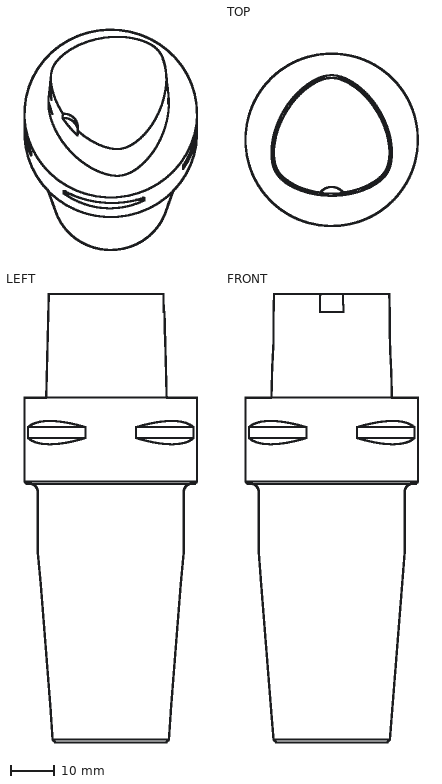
import cadquery as cq
import math

total_height = 104.0
shank_length = 24.0
collar_top = total_height - shank_length
collar_bottom = 60.0
cone_top = 44.1

collar_diameter = 40.0
neck_diameter = 33.9
nose_diameter = 27.0
nose_chamfer = 0.7
collar_chamfer = 0.5
relief_radius = 1.9

shank_base_width = 28.0
shank_taper = 1 / 20
lobe_height = 1.0
lobe_count = 3
outline_points = 48

notch_radius = 3.3
notch_inner_y = -10.9
notch_depth = 4.2

slot_count = 4
slot_floor_distance = 17.7
slot_floor_height = 2.5
slot_middle_z = 71.9
slot_flank_angle = 32.0


def turned_body():
    """Nose cone, neck and collar as one revolved profile."""
    collar_radius = collar_diameter / 2
    neck_radius = neck_diameter / 2
    nose_radius = nose_diameter / 2
    return (
        cq.Workplane("XZ")
        .lineTo(nose_radius - nose_chamfer, 0)
        .lineTo(nose_radius, nose_chamfer)
        .lineTo(neck_radius, cone_top)
        .lineTo(neck_radius, collar_bottom - relief_radius)
        .radiusArc((neck_radius + relief_radius, collar_bottom), relief_radius)
        .lineTo(collar_radius - collar_chamfer, collar_bottom)
        .lineTo(collar_radius, collar_bottom + collar_chamfer)
        .lineTo(collar_radius, collar_top)
        .lineTo(0, collar_top)
        .close()
        .revolve(360, (0, 0, 0), (0, 1, 0))
    )


def lobed_point(width, angle):
    """Point on a curve of constant width with one lobe pointing to +Y."""
    support = width / 2 + lobe_height * math.cos(lobe_count * angle)
    slope = -lobe_count * lobe_height * math.sin(lobe_count * angle)
    along_lobe = support * math.cos(angle) - slope * math.sin(angle)
    across_lobe = support * math.sin(angle) + slope * math.cos(angle)
    return (-across_lobe, along_lobe)


def lobed_wire(width, z):
    angles = [2 * math.pi * i / outline_points for i in range(outline_points)]
    points = [lobed_point(width, angle) for angle in angles]
    return cq.Workplane("XY", origin=(0, 0, z)).spline(points, periodic=True).close().val()


def shank():
    """Lobed shank, narrowing towards the top."""
    top_width = shank_base_width - shank_taper * shank_length
    base = lobed_wire(shank_base_width, collar_top)
    top = lobed_wire(top_width, total_height)
    return cq.Workplane(cq.Solid.makeLoft([base, top], True))


def shank_notch():
    return (
        cq.Workplane("XY", origin=(0, notch_inner_y - notch_radius, total_height - notch_depth))
        .circle(notch_radius)
        .extrude(notch_depth)
    )


def gripper_slot(angle):
    """Straight slot with a flat floor and flanks that open outwards."""
    depth = collar_diameter / 2 - slot_floor_distance
    half_floor = slot_floor_height / 2
    half_mouth = half_floor + depth * math.tan(math.radians(slot_flank_angle))
    return (
        cq.Workplane("XZ")
        .moveTo(slot_floor_distance, slot_middle_z - half_floor)
        .lineTo(collar_diameter / 2, slot_middle_z - half_mouth)
        .lineTo(collar_diameter / 2, slot_middle_z + half_mouth)
        .lineTo(slot_floor_distance, slot_middle_z + half_floor)
        .close()
        .extrude(collar_diameter / 2, both=True)
        .rotate((0, 0, 0), (0, 0, 1), angle)
    )


result = turned_body().union(shank()).cut(shank_notch())
for i in range(slot_count):
    result = result.cut(gripper_slot((i + 0.5) * 360 / slot_count))